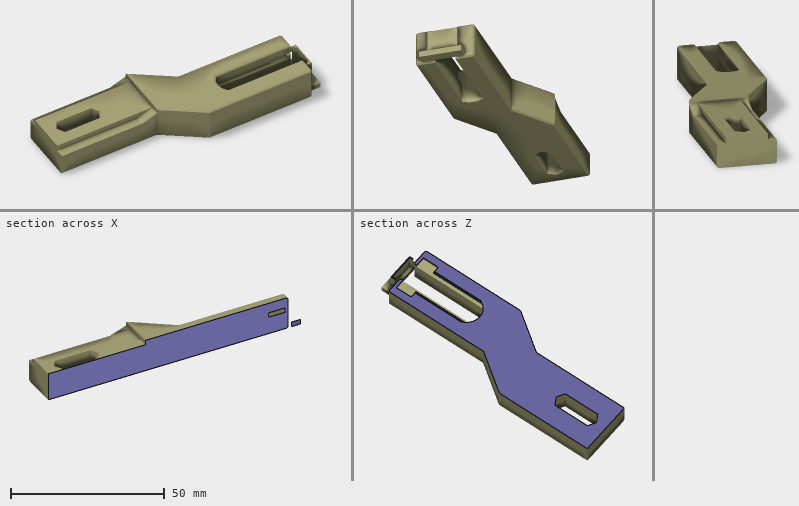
import cadquery as cq
import math

total_length = 93.7
arm_width = 20.1
arm_height = 12.0
side_offset = 9.9
lower_end_y = 36.0
upper_start_y = 50.0
upper_end_y = 88.9
edge_chamfer = 0.515
chamfer_angle = 45

lower_top_z = 10.3
shoulder_width = 3.0
shoulder_z = 8.1
ramp_length = 6.0
ramp_edge_radius = 0.6

hex_slot_width = 5.4
hex_slot_start_y = 3.9
hex_slot_end_y = 20.2
hex_point_slope = math.radians(30)

slot_x = side_offset + arm_width / 2
slot_lip_width = 7.7
slot_groove_width = 9.2
slot_narrow_width = 7.1
slot_end_y = 59.2
slot_end_radius = 5.3
lip_bottom_z = 11.0
slot_ledge_z = 6.6

foot_width = 14.4
foot_length = 3.6
foot_height = 2.0
clip_width = 10.1
web_thickness = 0.4
post_depth = 1.5
strap_bottom_z = 8.1
clip_top_z = 10.0
corner_chamfer = 1.1

pocket_width = foot_width
sill_thickness = 1.3
pocket_end_y = upper_end_y - sill_thickness
pocket_start_y = 81.7


def block(x0, x1, y0, y1, z0, z1):
    return cq.Workplane("XY").box(x1 - x0, y1 - y0, z1 - z0, centered=False).translate((x0, y0, z0))


def centred_block(width, y0, y1, z0, z1):
    return block(slot_x - width / 2, slot_x + width / 2, y0, y1, z0, z1)


def arm_blank():
    outline = [
        (0, 0),
        (arm_width, 0),
        (arm_width, lower_end_y),
        (arm_width + side_offset, upper_start_y),
        (arm_width + side_offset, upper_end_y),
        (side_offset, upper_end_y),
        (side_offset, upper_start_y),
        (0, lower_end_y),
    ]
    blank = cq.Workplane("XY").polyline(outline).close().extrude(arm_height)
    blank = blank.edges("|Z and >Y").chamfer(edge_chamfer)
    return blank.faces("<Z or >Z").edges("not <Y").chamfer(edge_chamfer)


def lower_step():
    return block(0, arm_width, 0, lower_end_y, lower_top_z, arm_height)


def shoulder_cut(x):
    profile = [
        (0, shoulder_z),
        (lower_end_y - ramp_length, shoulder_z),
        (lower_end_y, lower_top_z),
        (0, lower_top_z),
    ]
    return cq.Workplane("YZ").polyline(profile).close().extrude(shoulder_width).translate((x, 0, 0))


def hex_slot():
    half = hex_slot_width / 2
    point = half * math.tan(hex_point_slope)
    x = arm_width / 2
    outline = [
        (x, hex_slot_start_y),
        (x + half, hex_slot_start_y + point),
        (x + half, hex_slot_end_y - point),
        (x, hex_slot_end_y),
        (x - half, hex_slot_end_y - point),
        (x - half, hex_slot_start_y + point),
    ]
    return cq.Workplane("XY").polyline(outline).close().extrude(arm_height)


def open_slot(width, z0, z1, taper=0):
    """Slot volume from the upper end to a shallow round end; a negative taper widens it upward."""
    half = width / 2
    shoulder_y = slot_end_y + slot_end_radius - math.sqrt(slot_end_radius**2 - half**2)
    return (
        cq.Workplane("XY", origin=(slot_x, 0, z0))
        .moveTo(-half, upper_end_y)
        .lineTo(-half, shoulder_y)
        .threePointArc((0, slot_end_y), (half, shoulder_y))
        .lineTo(half, upper_end_y)
        .close()
        .extrude(z1 - z0, taper=taper)
    )


def slot_mouth_chamfer():
    half = slot_narrow_width / 2
    outline = [
        (slot_x - half - edge_chamfer, upper_end_y),
        (slot_x - half, upper_end_y - edge_chamfer),
        (slot_x + half, upper_end_y - edge_chamfer),
        (slot_x + half + edge_chamfer, upper_end_y),
    ]
    return cq.Workplane("XY").polyline(outline).close().extrude(arm_height)


def pocket():
    return centred_block(pocket_width, pocket_start_y, pocket_end_y, slot_ledge_z, strap_bottom_z)


def clip_legs():
    """Flat legs along both slot walls, cut back to narrow straps above the pocket and sill."""
    legs = open_slot(clip_width, slot_ledge_z, clip_top_z)
    legs = legs.cut(open_slot(slot_groove_width, slot_ledge_z, clip_top_z))
    return legs.cut(centred_block(clip_width, pocket_start_y, upper_end_y, slot_ledge_z, strap_bottom_z))


def groove():
    full_groove = open_slot(slot_groove_width, slot_ledge_z, lip_bottom_z)
    sill = centred_block(slot_groove_width, pocket_end_y, upper_end_y, slot_ledge_z, strap_bottom_z)
    return full_groove.cut(sill)


def make_arm():
    arm = arm_blank().cut(lower_step())
    for x in (0, arm_width - shoulder_width):
        arm = arm.cut(shoulder_cut(x))
    ramp_edge_middle = (arm_width, lower_end_y - ramp_length / 2, (shoulder_z + lower_top_z) / 2)
    arm = arm.edges(cq.selectors.NearestToPointSelector(ramp_edge_middle)).fillet(ramp_edge_radius)
    arm = arm.cut(hex_slot())
    arm = arm.cut(open_slot(slot_narrow_width, 0, arm_height))
    arm = arm.cut(open_slot(slot_lip_width, lip_bottom_z, arm_height))
    arm = arm.cut(open_slot(slot_lip_width, arm_height - edge_chamfer, arm_height, taper=-chamfer_angle))
    arm = arm.cut(slot_mouth_chamfer())
    arm = arm.cut(groove())
    arm = arm.cut(pocket())
    return arm.cut(clip_legs())


def make_clip():
    foot_y = total_length - foot_length
    post_y = foot_y + post_depth
    web_y = post_y - web_thickness
    half = clip_width / 2
    inner = slot_groove_width / 2
    corner_x = inner - corner_chamfer
    corner_y = web_y - corner_chamfer
    foot = centred_block(foot_width, foot_y, total_length, 0, foot_height)
    post = centred_block(clip_width, foot_y, post_y, foot_height, strap_bottom_z)
    post = post.cut(centred_block(slot_groove_width, foot_y, web_y, foot_height, strap_bottom_z))
    strap_outline = [
        (-half, upper_end_y),
        (-half, post_y),
        (half, post_y),
        (half, upper_end_y),
        (inner, upper_end_y),
        (inner, corner_y),
        (corner_x, web_y),
        (-corner_x, web_y),
        (-inner, corner_y),
        (-inner, upper_end_y),
    ]
    strap_base = cq.Workplane("XY", origin=(slot_x, 0, strap_bottom_z))
    straps = strap_base.polyline(strap_outline).close().extrude(clip_top_z - strap_bottom_z)
    return foot.union(post).union(straps).union(clip_legs()).clean()


arm = make_arm()
clip = make_clip()
result = cq.Compound.makeCompound([arm.solids().val(), clip.solids().val()])